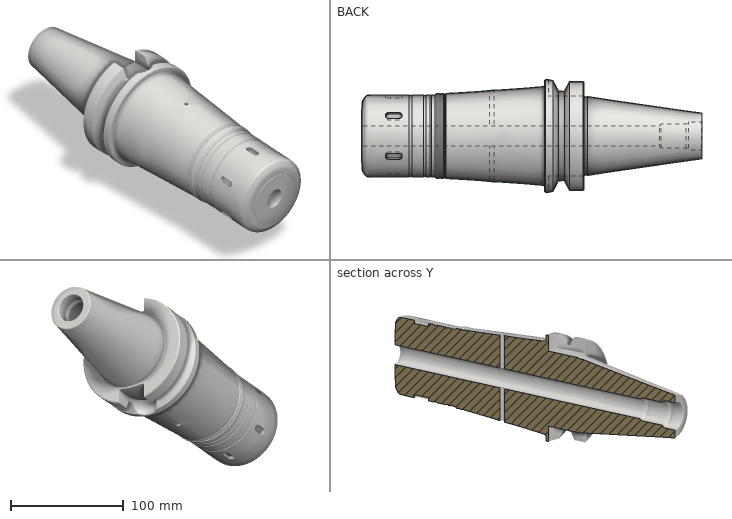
import cadquery as cq
import math

TOTAL_LENGTH = 301.8

TAPER_LENGTH = 101.5
TAPER_LARGE_RADIUS = 35.0
TAPER_RATE = 7 / 24
TAPER_SMALL_RADIUS = TAPER_LARGE_RADIUS - TAPER_LENGTH * TAPER_RATE / 2
SHANK_END_ROUND = 1.0
NECK_RADIUS = 68.8 / 2
NECK_FILLET = 1.8

FLANGE_START = 104.7
FLANGE_END = 139.5
FLANGE_RADIUS = 100.0 / 2
FLANGE_CHAMFER = 1.0
V_GROOVE_START = 117.5
V_FLOOR_START = 122.0
V_FLOOR_END = 127.5
V_GROOVE_END = 132.2
V_FLOOR_RADIUS = 41.5

BODY_FILLET = 1.8
BODY_START_RADIUS = 43.8
BODY_TAPER_END = 226.7
RIB_RADIUS = 37.7

RELIEF_LENGTH = 3.0
RELIEF_SLOPE = 1.0
RELIEF_DEPTH = 0.45
RING_GROOVE_START = 231.2
RING_GROOVE_END = 233.0
RING_GROOVE_DEPTH = 0.5
RIB_END = 234.8
RIB_CHAMFER_END = 236.5

NUT_RADIUS = 73.0 / 2
NUT_GROOVE_RADIUS = 72.0 / 2
NUT_GROOVES = [(239.5, 241.0), (244.8, 247.0), (256.8, 259.5)]
NUT_TAPER_START = 289.5

NOSE_ROUND_START = 295.8
NOSE_ROUND_START_RADIUS = 36.2
NOSE_FLAT_START = 298.5
NOSE_FLAT_START_RADIUS = 34.7
NOSE_FLAT_END = 300.3
NOSE_FLAT_END_RADIUS = 32.0
NOSE_FACE = 301.2
NOSE_FACE_RADIUS = 57.0 / 2
LIP_RADIUS = 23.5

BORE_RADIUS = 18 / 2
THREAD_RADIUS = 21 / 2
PILOT_RADIUS = 25.0 / 2
PILOT_DEPTH = 12.0
THREAD_DEPTH = 36.2
BORE_MOUTH_CHAMFER = 0.5

KEYWAY_WIDTH = 25.7
KEYWAY_END = 136.0
KEYWAY_FLOOR = 35.3

WRENCH_SLOT_COUNT = 6
WRENCH_SLOT_CENTER = 273.0
WRENCH_SLOT_LENGTH = 14.5
WRENCH_SLOT_WIDTH = 6.0
WRENCH_SLOT_DEPTH = 3.0

CROSS_HOLE_X = 186.2
CROSS_HOLE_DIAMETER = 4.0


def turned_body():
    """Outer profile revolved about X, starting and ending on the axis."""
    arc_offset = math.sqrt(0.5)
    small_arc = SHANK_END_ROUND * (1 - arc_offset)
    neck_arc = NECK_FILLET * (1 - arc_offset)
    body_arc = BODY_FILLET * (1 - arc_offset)
    relief_end = BODY_TAPER_END + RELIEF_LENGTH
    ring_floor = RIB_RADIUS - RING_GROOVE_DEPTH

    profile = (
        cq.Workplane("XY")
        .lineTo(0, TAPER_SMALL_RADIUS - SHANK_END_ROUND)
        .threePointArc(
            (small_arc, TAPER_SMALL_RADIUS - small_arc),
            (SHANK_END_ROUND, TAPER_SMALL_RADIUS + SHANK_END_ROUND * TAPER_RATE / 2),
        )
        .lineTo(TAPER_LENGTH, TAPER_LARGE_RADIUS)
        .lineTo(TAPER_LENGTH, NECK_RADIUS)
        .lineTo(FLANGE_START - NECK_FILLET, NECK_RADIUS)
        .threePointArc(
            (FLANGE_START - neck_arc, NECK_RADIUS + neck_arc),
            (FLANGE_START, NECK_RADIUS + NECK_FILLET),
        )
        .lineTo(FLANGE_START, FLANGE_RADIUS - FLANGE_CHAMFER)
        .lineTo(FLANGE_START + FLANGE_CHAMFER, FLANGE_RADIUS)
        .lineTo(V_GROOVE_START, FLANGE_RADIUS)
        .lineTo(V_FLOOR_START, V_FLOOR_RADIUS)
        .lineTo(V_FLOOR_END, V_FLOOR_RADIUS)
        .lineTo(V_GROOVE_END, FLANGE_RADIUS)
        .lineTo(FLANGE_END - FLANGE_CHAMFER, FLANGE_RADIUS)
        .lineTo(FLANGE_END, FLANGE_RADIUS - FLANGE_CHAMFER)
        .lineTo(FLANGE_END, BODY_START_RADIUS + BODY_FILLET)
        .threePointArc(
            (FLANGE_END + body_arc, BODY_START_RADIUS + body_arc),
            (FLANGE_END + BODY_FILLET, BODY_START_RADIUS),
        )
        .lineTo(BODY_TAPER_END, RIB_RADIUS)
        .lineTo(BODY_TAPER_END + RELIEF_SLOPE, RIB_RADIUS - RELIEF_DEPTH)
        .lineTo(relief_end - RELIEF_SLOPE, RIB_RADIUS - RELIEF_DEPTH)
        .lineTo(relief_end, RIB_RADIUS)
        .lineTo(RING_GROOVE_START, RIB_RADIUS)
        .lineTo(RING_GROOVE_START, ring_floor)
        .lineTo(RING_GROOVE_END, ring_floor)
        .lineTo(RING_GROOVE_END, RIB_RADIUS)
        .lineTo(RIB_END, RIB_RADIUS)
        .lineTo(RIB_CHAMFER_END, NUT_RADIUS)
    )
    for start, end in NUT_GROOVES:
        profile = (
            profile.lineTo(start, NUT_RADIUS)
            .lineTo(start, NUT_GROOVE_RADIUS)
            .lineTo(end, NUT_GROOVE_RADIUS)
            .lineTo(end, NUT_RADIUS)
        )
    profile = (
        profile.lineTo(NUT_TAPER_START, NUT_RADIUS)
        .lineTo(NOSE_ROUND_START, NOSE_ROUND_START_RADIUS)
        .tangentArcPoint((NOSE_FLAT_START, NOSE_FLAT_START_RADIUS), relative=False)
        .lineTo(NOSE_FLAT_END, NOSE_FLAT_END_RADIUS)
        .tangentArcPoint((NOSE_FACE, NOSE_FACE_RADIUS), relative=False)
        .lineTo(NOSE_FACE, LIP_RADIUS)
        .lineTo(TOTAL_LENGTH, LIP_RADIUS)
        .lineTo(TOTAL_LENGTH, 0)
        .close()
    )
    return profile.revolve(360, (0, 0, 0), (1, 0, 0))


def bore():
    """Stepped bore: chamfered pilot, thread core and a through hole, joined by 45 degree cones."""
    return (
        cq.Workplane("XY")
        .lineTo(0, PILOT_RADIUS + BORE_MOUTH_CHAMFER)
        .lineTo(BORE_MOUTH_CHAMFER, PILOT_RADIUS)
        .lineTo(PILOT_DEPTH, PILOT_RADIUS)
        .lineTo(PILOT_DEPTH + PILOT_RADIUS - THREAD_RADIUS, THREAD_RADIUS)
        .lineTo(THREAD_DEPTH, THREAD_RADIUS)
        .lineTo(THREAD_DEPTH + THREAD_RADIUS - BORE_RADIUS, BORE_RADIUS)
        .lineTo(TOTAL_LENGTH, BORE_RADIUS)
        .lineTo(TOTAL_LENGTH, 0)
        .close()
        .revolve(360, (0, 0, 0), (1, 0, 0))
    )


def keyway():
    """Round-ended keyway open toward the taper, on the +Z side."""
    half_width = KEYWAY_WIDTH / 2
    return (
        cq.Workplane("XY")
        .workplane(offset=KEYWAY_FLOOR)
        .moveTo(FLANGE_START, -half_width)
        .lineTo(KEYWAY_END - half_width, -half_width)
        .threePointArc((KEYWAY_END, 0), (KEYWAY_END - half_width, half_width))
        .lineTo(FLANGE_START, half_width)
        .close()
        .extrude(FLANGE_RADIUS)
    )


def wrench_slot():
    """Flat-bottomed slot along X in the +Z side of the nut."""
    return (
        cq.Workplane("XY")
        .workplane(offset=NUT_RADIUS - WRENCH_SLOT_DEPTH)
        .center(WRENCH_SLOT_CENTER, 0)
        .slot2D(WRENCH_SLOT_LENGTH, WRENCH_SLOT_WIDTH)
        .extrude(2 * WRENCH_SLOT_DEPTH)
    )


def cross_hole():
    """Small hole along Z through both walls of the body."""
    return (
        cq.Workplane("XY")
        .center(CROSS_HOLE_X, 0)
        .circle(CROSS_HOLE_DIAMETER / 2)
        .extrude(BODY_START_RADIUS, both=True)
    )


def turned_about_axis(shape, angle):
    return shape.rotate((0, 0, 0), (1, 0, 0), angle)


result = turned_body().cut(bore()).cut(cross_hole())

for angle in (0, 180):
    result = result.cut(turned_about_axis(keyway(), angle))

for index in range(WRENCH_SLOT_COUNT):
    slot_angle = index * 360 / WRENCH_SLOT_COUNT
    result = result.cut(turned_about_axis(wrench_slot(), slot_angle))